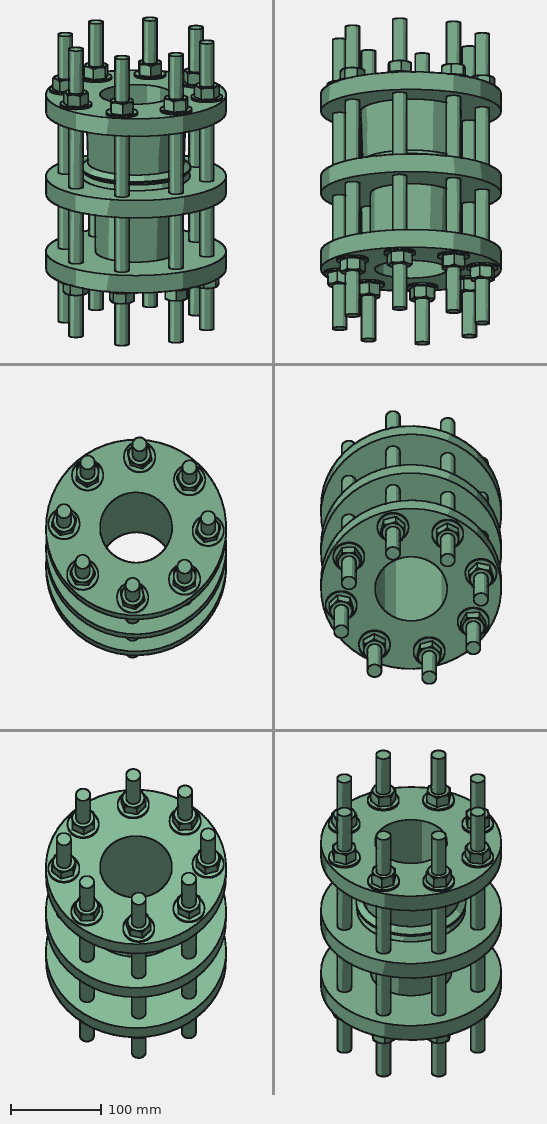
import cadquery as cq
import math

rod_length = 330.0
rod_diameter = 16.0
bolt_count = 8
bolt_circle_diameter = 160.0

flange_diameter = 200.0
flange_thickness = 20.0
end_face_height = 100.3
gland_top = 6.3

bore_diameter = 80.0
pipe_diameter = 90.0

sleeve_top_radius = 55.8
sleeve_foot_radius = 53.5
sleeve_foot_height = 22.5
lip_radius = 60.7
lip_top = 16.8
lip_bottom = 15.2

groove_radius = 57.5
groove_height = 12.2
collar_foot_radius = 60.0

washer_diameter = 34.5
washer_thickness = 2.0
nut_sides = 6
nut_across_flats = 24.0
nut_height = 13.2
nut_chamfer_angle = 30.0
upper_nut_turn = 15.0
lower_nut_turn = 28.0


def flange(bottom):
    """Round plate with its lower face at the given height."""
    plate = cq.Workplane("XY").workplane(offset=bottom)
    return plate.circle(flange_diameter / 2).extrude(flange_thickness)


def body():
    """Tapered sleeve, lip, groove and flared collar above the plain pipe, revolved about Z."""
    pipe_radius = pipe_diameter / 2
    return (
        cq.Workplane("XZ")
        .moveTo(0, end_face_height)
        .lineTo(sleeve_top_radius, end_face_height)
        .lineTo(sleeve_top_radius, end_face_height - flange_thickness)
        .lineTo(sleeve_foot_radius, sleeve_foot_height)
        .lineTo(lip_radius, lip_top)
        .lineTo(lip_radius, lip_bottom)
        .lineTo(groove_radius, groove_height)
        .lineTo(collar_foot_radius, gland_top)
        .lineTo(pipe_radius, gland_top)
        .lineTo(pipe_radius, -end_face_height)
        .lineTo(0, -end_face_height)
        .close()
        .revolve(360, (0, 0), (0, 1))
    )


def nut():
    """Hexagonal nut standing on Z = 0, with the corners of its top face chamfered."""
    flat_radius = nut_across_flats / 2
    corner_radius = flat_radius / math.cos(math.pi / nut_sides)
    corner_drop = (corner_radius - flat_radius) * math.tan(math.radians(nut_chamfer_angle))
    hexagon = cq.Workplane("XY").polygon(nut_sides, 2 * corner_radius).extrude(nut_height)
    envelope = (
        cq.Workplane("XZ")
        .polyline([
            (0, 0),
            (corner_radius, 0),
            (corner_radius, nut_height - corner_drop),
            (flat_radius, nut_height),
            (0, nut_height),
        ])
        .close()
        .revolve(360, (0, 0), (0, 1))
    )
    return hexagon.intersect(envelope)


def washer_and_nut(turn):
    """Washer on the upper end face with a nut on it, turned about the rod axis."""
    washer = cq.Workplane("XY").circle(washer_diameter / 2).extrude(washer_thickness)
    turned_nut = nut().rotate((0, 0, 0), (0, 0, 1), turn).translate((0, 0, washer_thickness))
    return washer.union(turned_nut).translate((0, 0, end_face_height))


def bolt():
    """Plain rod with a washer and nut at each end."""
    rod = cq.Workplane("XY").circle(rod_diameter / 2).extrude(rod_length / 2, both=True)
    upper_nut = washer_and_nut(upper_nut_turn)
    lower_nut = washer_and_nut(lower_nut_turn).mirror("XY")
    return rod.union(upper_nut).union(lower_nut).translate((bolt_circle_diameter / 2, 0, 0))


result = body()
for flange_top in (end_face_height, gland_top, flange_thickness - end_face_height):
    result = result.union(flange(flange_top - flange_thickness))

bore = cq.Workplane("XY").circle(bore_diameter / 2).extrude(end_face_height, both=True)
result = result.cut(bore)

bolt_step = 360 / bolt_count
for index in range(bolt_count):
    result = result.union(bolt().rotate((0, 0, 0), (0, 0, 1), (index + 0.5) * bolt_step))